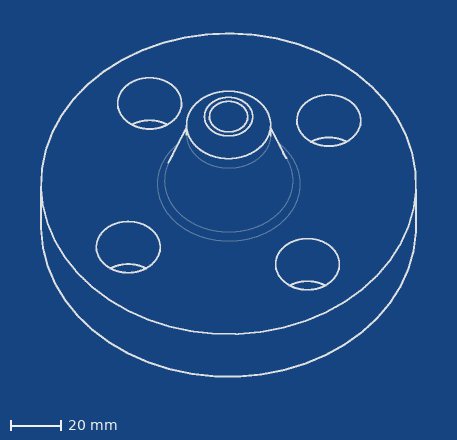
import cadquery as cq
import math


flange_diameter = 149.35
flange_thickness = 28.45
total_height = 73.15

bolt_circle_diameter = 101.6
bolt_hole_diameter = 25.4
bolt_hole_count = 4

hub_base_diameter = 52.3
neck_diameter = 33.5
bore_diameter = 15.2
hub_fillet_radius = 3.0
selection_margin = 0.1
neck_length = 6.25
weld_land = 2.0
bevel_angle = 37.5

flange_radius = flange_diameter / 2
neck_radius = neck_diameter / 2
tip_radius = bore_diameter / 2 + weld_land
bevel_height = (neck_radius - tip_radius) * math.tan(math.radians(bevel_angle))
neck_top = total_height - bevel_height
neck_bottom = neck_top - neck_length


def make_body():
    """Revolve the flange plate, tapered hub, neck and weld bevel about Z."""
    profile = (
        cq.Workplane("XZ")
        .moveTo(0, 0)
        .lineTo(flange_radius, 0)
        .lineTo(flange_radius, flange_thickness)
        .lineTo(hub_base_diameter / 2, flange_thickness)
        .lineTo(neck_radius, neck_bottom)
        .lineTo(neck_radius, neck_top)
        .lineTo(tip_radius, total_height)
        .lineTo(0, total_height)
        .close()
    )
    return profile.revolve(360, (0, 0, 0), (0, 1, 0))


def fillet_hub_base(body):
    """Round the inside corner where the hub meets the flange plate."""
    hub_foot = cq.selectors.BoxSelector(
        (-hub_base_diameter, -hub_base_diameter, flange_thickness - selection_margin),
        (hub_base_diameter, hub_base_diameter, flange_thickness + selection_margin),
        boundingbox=True,
    )
    return body.edges(hub_foot).fillet(hub_fillet_radius)


def cut_bore(body):
    """Bore straight through along Z."""
    bore = cq.Workplane("XY").circle(bore_diameter / 2).extrude(total_height)
    return body.cut(bore)


def cut_bolt_holes(body):
    """Drill the evenly spaced bolt holes through the flange plate."""
    holes = (
        cq.Workplane("XY")
        .polarArray(bolt_circle_diameter / 2, 0, 360, bolt_hole_count)
        .circle(bolt_hole_diameter / 2)
        .extrude(flange_thickness)
    )
    return body.cut(holes)


result = cut_bolt_holes(cut_bore(fillet_hub_base(make_body())))